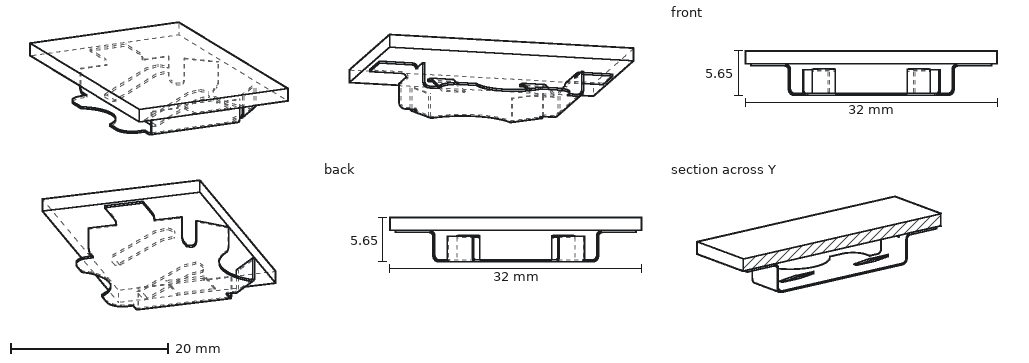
import cadquery as cq
import math

PLATE_LENGTH = 32.0
PLATE_WIDTH = 21.0
PLATE_THICKNESS = 1.65
TOTAL_HEIGHT = 5.65
PLATE_BOTTOM = TOTAL_HEIGHT - PLATE_THICKNESS

SHEET = 0.25
FLANGE_HEIGHT = 3.25
CLIP_CENTER_Y = 0.13

WALL_OUTER_X = 10.53
WALL_WIDTH = 12.45
WALL_BEND_RADIUS = 0.8
FOOT_END_X = 15.3
FOOT_WIDTH = 5.1

STOP_TIP_X = 5.5
STOP_TIP_Y = 11.0
STOP_LENGTH = 4.58
STOP_TURN = 45.0
STOP_BEND_RADIUS = 0.55

LOBE_SIDE_X = 8.45
LOBE_END_Y = -8.95
LOBE_RADIUS = 2.1
SCALLOP_HALF_WIDTH = 4.22
SCALLOP_DEPTH = 2.3

RELIEF_EDGE = 0.25
RELIEF_RADIUS = 0.32
RELIEF_FLARE = 25.0

TONGUE_CENTER_X = 6.0
TONGUE_WIDTH = 2.9
TONGUE_SLOPE = 25.0
TONGUE_BEND_Y = 1.75
TONGUE_BEND_Z = 3.15
TONGUE_TIP_Y = 3.9
TONGUE_TIP_SLOPE = 7.0
TONGUE_BEND_RADIUS = 0.25
TONGUE_TIP_SAGITTA = 0.48

DIAGONAL = math.sqrt(0.5)


def mirrored_pair(shape):
    """The given +X shape together with its -X mirror image."""
    return shape.union(shape.mirror("YZ"))


def arc_point(center, radius, degrees):
    """Point on a circle at the given angle."""
    angle = math.radians(degrees)
    return (center[0] + radius * math.cos(angle), center[1] + radius * math.sin(angle))


def make_plate():
    """Plain rectangular plate that the clip's feet bear against."""
    return (
        cq.Workplane("XY", origin=(0, 0, PLATE_BOTTOM))
        .box(PLATE_LENGTH, PLATE_WIDTH, PLATE_THICKNESS, centered=(True, True, False))
    )


def bent_flange(bend_radius, length):
    """Upright flange with its base bend; outer face at x = 0, base towards -X, centred on Y."""
    bend_center = (-bend_radius, bend_radius)
    inner_radius = bend_radius - SHEET
    return (
        cq.Workplane("XZ")
        .moveTo(-bend_radius, 0)
        .threePointArc(arc_point(bend_center, bend_radius, -45), (0, bend_radius))
        .lineTo(0, FLANGE_HEIGHT)
        .lineTo(-SHEET, FLANGE_HEIGHT)
        .lineTo(-SHEET, bend_radius)
        .threePointArc(arc_point(bend_center, inner_radius, -45), (-bend_radius, SHEET))
        .close()
        .extrude(length / 2, both=True)
    )


def foot():
    """Narrow strip that bends outward from the +X wall and lies under the plate."""
    outer_radius = PLATE_BOTTOM - FLANGE_HEIGHT
    inner_radius = outer_radius - SHEET
    bend_center = (WALL_OUTER_X + inner_radius, FLANGE_HEIGHT)
    return (
        cq.Workplane("XZ", origin=(0, CLIP_CENTER_Y, 0))
        .moveTo(WALL_OUTER_X, FLANGE_HEIGHT)
        .threePointArc(
            arc_point(bend_center, inner_radius, 135), (bend_center[0], PLATE_BOTTOM - SHEET)
        )
        .lineTo(FOOT_END_X, PLATE_BOTTOM - SHEET)
        .lineTo(FOOT_END_X, PLATE_BOTTOM)
        .lineTo(bend_center[0], PLATE_BOTTOM)
        .threePointArc(
            arc_point(bend_center, outer_radius, 135), (WALL_OUTER_X - SHEET, FLANGE_HEIGHT)
        )
        .close()
        .extrude(FOOT_WIDTH / 2, both=True)
    )


def half_base():
    """+X half of the flat bottom sheet: scalloped ends, reaching the bends of the wall and stop."""
    wall_x = WALL_OUTER_X - WALL_BEND_RADIUS
    wall_front_y = CLIP_CENTER_Y - WALL_WIDTH / 2
    wall_back_y = CLIP_CENTER_Y + WALL_WIDTH / 2
    lobe_center = (LOBE_SIDE_X - LOBE_RADIUS, LOBE_END_Y + LOBE_RADIUS)
    scallop_radius = (SCALLOP_HALF_WIDTH**2 + SCALLOP_DEPTH**2) / (2 * SCALLOP_DEPTH)

    stop_inner_x = STOP_TIP_X - STOP_BEND_RADIUS * DIAGONAL
    stop_inner_y = STOP_TIP_Y - STOP_BEND_RADIUS * DIAGONAL
    stop_outer_x = stop_inner_x + STOP_LENGTH * DIAGONAL
    stop_outer_y = stop_inner_y - STOP_LENGTH * DIAGONAL
    back_scallop_radius = (stop_inner_x**2 + SCALLOP_DEPTH**2) / (2 * SCALLOP_DEPTH)

    relief_start_x = stop_outer_x - RELIEF_EDGE * DIAGONAL
    relief_start_y = stop_outer_y - RELIEF_EDGE * DIAGONAL
    relief_center = (
        relief_start_x + RELIEF_RADIUS * DIAGONAL,
        relief_start_y - RELIEF_RADIUS * DIAGONAL,
    )
    relief_end = arc_point(relief_center, RELIEF_RADIUS, 180 + RELIEF_FLARE)
    flare_run = (relief_end[1] - wall_back_y) * math.tan(math.radians(RELIEF_FLARE))

    return (
        cq.Workplane("XY")
        .moveTo(0, LOBE_END_Y + SCALLOP_DEPTH)
        .radiusArc((SCALLOP_HALF_WIDTH, LOBE_END_Y), scallop_radius)
        .lineTo(lobe_center[0], LOBE_END_Y)
        .threePointArc(arc_point(lobe_center, LOBE_RADIUS, -45), (LOBE_SIDE_X, lobe_center[1]))
        .lineTo(LOBE_SIDE_X, wall_front_y)
        .lineTo(wall_x, wall_front_y)
        .lineTo(wall_x, wall_back_y)
        .lineTo(relief_end[0] + flare_run, wall_back_y)
        .lineTo(*relief_end)
        .threePointArc(
            arc_point(relief_center, RELIEF_RADIUS, 180), (relief_start_x, relief_start_y)
        )
        .lineTo(stop_outer_x, stop_outer_y)
        .lineTo(stop_inner_x, stop_inner_y)
        .radiusArc((0, stop_inner_y - SCALLOP_DEPTH), back_scallop_radius)
        .close()
        .extrude(SHEET)
    )


def corner_stop():
    """Upright stop across the +X, +Y corner."""
    center_x = STOP_TIP_X + STOP_LENGTH / 2 * DIAGONAL
    center_y = STOP_TIP_Y - STOP_LENGTH / 2 * DIAGONAL
    return (
        bent_flange(STOP_BEND_RADIUS, STOP_LENGTH)
        .rotate((0, 0, 0), (0, 0, 1), STOP_TURN)
        .translate((center_x, center_y, 0))
    )


def tongue():
    """Spring tongue that climbs from the base towards +Y and flattens to a rounded tip."""
    slope = math.radians(TONGUE_SLOPE)
    tip_slope = math.radians(TONGUE_TIP_SLOPE)
    root_y = TONGUE_BEND_Y - (TONGUE_BEND_Z - SHEET) / math.tan(slope)
    lower_root_y = root_y + SHEET / math.sin(slope)
    tip_z = TONGUE_BEND_Z + (TONGUE_TIP_Y - TONGUE_BEND_Y) * math.tan(tip_slope)
    half_bend = (slope + tip_slope) / 2
    miter = SHEET / math.cos((slope - tip_slope) / 2)
    lower_bend = (
        TONGUE_BEND_Y + miter * math.sin(half_bend),
        TONGUE_BEND_Z - miter * math.cos(half_bend),
    )
    strip = (
        cq.Workplane("YZ", origin=(TONGUE_CENTER_X, 0, 0))
        .moveTo(root_y, SHEET)
        .lineTo(TONGUE_BEND_Y, TONGUE_BEND_Z)
        .lineTo(TONGUE_TIP_Y, tip_z)
        .lineTo(TONGUE_TIP_Y, tip_z - SHEET / math.cos(tip_slope))
        .lineTo(*lower_bend)
        .lineTo(lower_root_y, SHEET)
        .close()
        .extrude(TONGUE_WIDTH / 2, both=True)
    )
    upper_bend_point = (TONGUE_CENTER_X, TONGUE_BEND_Y, TONGUE_BEND_Z)
    lower_bend_point = (TONGUE_CENTER_X, *lower_bend)
    strip = strip.edges(cq.NearestToPointSelector(upper_bend_point)).fillet(TONGUE_BEND_RADIUS + SHEET)
    strip = strip.edges(cq.NearestToPointSelector(lower_bend_point)).fillet(TONGUE_BEND_RADIUS)
    corner_y = TONGUE_TIP_Y - TONGUE_TIP_SAGITTA
    tip_outline = (
        cq.Workplane("XY", origin=(TONGUE_CENTER_X, 0, 0))
        .moveTo(-TONGUE_WIDTH / 2, root_y)
        .lineTo(TONGUE_WIDTH / 2, root_y)
        .lineTo(TONGUE_WIDTH / 2, corner_y)
        .threePointArc((0, TONGUE_TIP_Y), (-TONGUE_WIDTH / 2, corner_y))
        .close()
        .extrude(PLATE_BOTTOM)
    )
    return strip.intersect(tip_outline)


def make_clip():
    """One bent sheet: base, side walls with feet, corner stops and spring tongues."""
    side_wall = bent_flange(WALL_BEND_RADIUS, WALL_WIDTH).translate((WALL_OUTER_X, CLIP_CENTER_Y, 0))
    body = half_base()
    for feature in (side_wall, foot(), corner_stop(), tongue()):
        body = body.union(feature)
    return mirrored_pair(body)


plate = make_plate()
clip = make_clip()
result = cq.Compound.makeCompound([plate.val(), clip.val()])